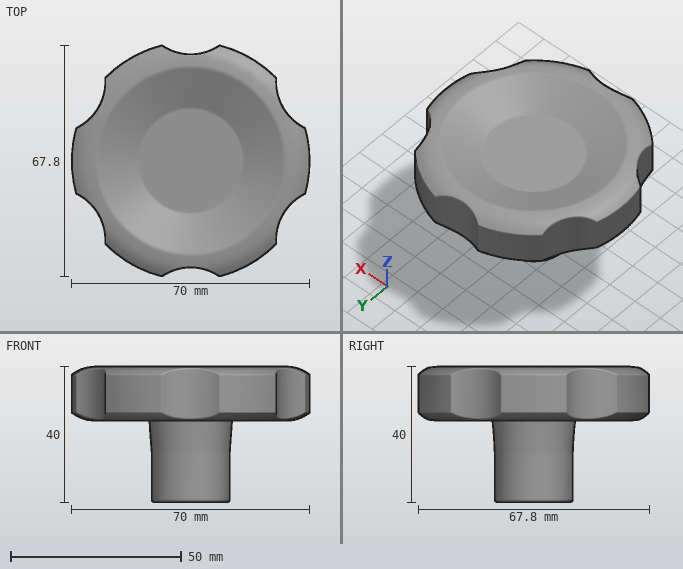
import cadquery as cq
import math

head_radius = 35.0
total_height = 40.0
head_thickness = 16.0
head_bottom = total_height - head_thickness

flat_radius = 28.0
shoulder_drop = 2.45
edge_fillet = 0.5

dish_depth = 4.9
dish_mouth_radius = 27.5
dish_floor_radius = 15.5
dish_floor_fillet = 1.8
dish_mouth_fillet = 2.4

scallop_count = 6
scallop_depth = 3.65
scallop_radius = 15.05
scallop_center = head_radius - scallop_depth + scallop_radius

stem_radius = 23.0 / 2
stem_top_radius = 12.2
collar_height = 14.6
collar_blend_length = 0.3
stem_end_fillet = 1.0


def make_head():
    """Disc whose shoulders are arcs tangent to the flat faces, with scallops cut into its rim."""
    run = head_radius - flat_radius
    shoulder_radius = (run**2 + shoulder_drop**2) / (2 * shoulder_drop)
    half_angle = math.asin(run / shoulder_radius) / 2
    mid_radius = flat_radius + shoulder_radius * math.sin(half_angle)
    mid_drop = shoulder_radius * (1 - math.cos(half_angle))
    disc = (
        cq.Workplane("XZ")
        .moveTo(0, head_bottom)
        .lineTo(flat_radius, head_bottom)
        .threePointArc((mid_radius, head_bottom + mid_drop), (head_radius, head_bottom + shoulder_drop))
        .lineTo(head_radius, total_height - shoulder_drop)
        .threePointArc((mid_radius, total_height - mid_drop), (flat_radius, total_height))
        .lineTo(0, total_height)
        .close()
        .revolve(360, (0, 0, 0), (0, 1, 0))
    )
    scallops = (
        cq.Workplane("XY", origin=(0, 0, head_bottom))
        .polarArray(scallop_center, 180 / scallop_count, 360, scallop_count)
        .circle(scallop_radius)
        .extrude(head_thickness)
    )
    head = disc.cut(scallops)
    rim_edges = [
        edge
        for face in head.faces("%CYLINDER").vals()
        for edge in face.Edges()
    ]
    return head.newObject(rim_edges).fillet(edge_fillet)


def cut_dish(body):
    """Conical recess, rounded at its mouth and around its flat floor."""
    floor_height = total_height - dish_depth
    dish = (
        cq.Workplane("XZ")
        .moveTo(0, floor_height)
        .lineTo(dish_floor_radius, floor_height)
        .lineTo(dish_mouth_radius, total_height)
        .lineTo(0, total_height)
        .close()
        .revolve(360, (0, 0, 0), (0, 1, 0))
        .faces("<Z")
        .edges()
        .fillet(dish_floor_fillet)
    )
    mouth = cq.selectors.RadiusNthSelector(0)
    return body.cut(dish).faces(">Z").edges(mouth).fillet(dish_mouth_fillet)


def make_stem():
    """Round stem that widens towards the head above a straight cylinder, blended by a small arc."""
    flare = math.atan2(stem_top_radius - stem_radius, head_bottom - collar_height)
    blend_end = (
        stem_radius + collar_blend_length * math.sin(flare),
        collar_height + collar_blend_length * math.cos(flare),
    )
    return (
        cq.Workplane("XZ")
        .lineTo(stem_radius, 0)
        .lineTo(stem_radius, collar_height - collar_blend_length)
        .tangentArcPoint(blend_end, relative=False)
        .lineTo(stem_top_radius, head_bottom)
        .lineTo(0, head_bottom)
        .close()
        .revolve(360, (0, 0, 0), (0, 1, 0))
        .faces("<Z")
        .edges()
        .fillet(stem_end_fillet)
    )


result = cut_dish(make_head().union(make_stem()))